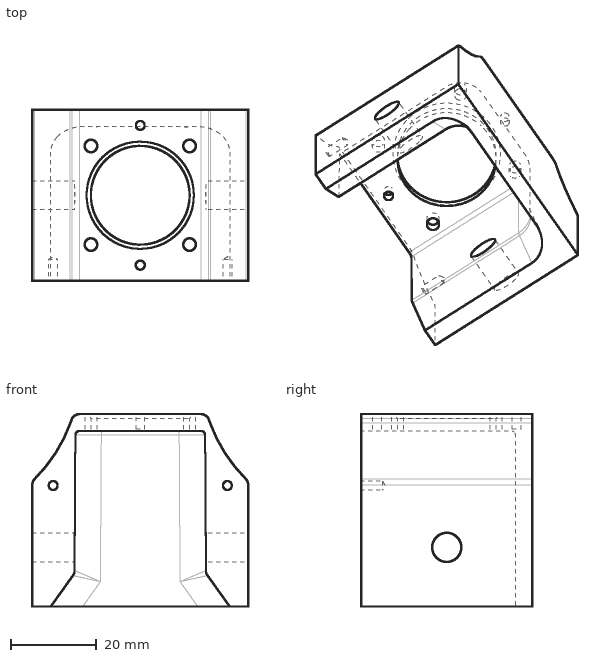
import cadquery as cq
import math

width = 50.4
depth = 40.0
height = 44.9
half_width = width / 2

top_half_width = 14.1
top_round_end = (15.95, 43.85)
sweep_start = (16.35, 42.75)
sweep_end = (24.7, 29.7)
sweep_sagitta = 0.85
side_top = 28.35
top_round_sagitta = 0.28
side_round_sagitta = 0.125

wall = 4.0
ceiling = height - wall
cavity_top_half_width = 15.15
flare_half_width = 15.35
flare_height = 7.75
foot_half_width = 20.85
cavity_back = depth / 2 - wall
corner_radius = 6.05
ceiling_fillet = 0.95
bend_radius = 2.0
bend_margin = 3.0

bore_diameter = 23.0
bore_chamfer = 1.0
screw_diameter = 2.85
screw_spacing = 23.0
pin_diameter = 2.05
pin_offset = 16.3
pin_depth = 3.55
pivot_diameter = 6.75
pivot_height = 13.8
face_hole_x = 20.3
face_hole_z = 28.25
face_hole_depth = 5.05
drill_point_angle = 118.0


def bulge_point(start, end, sagitta):
    """Middle of an arc that bows to the left of the line from start to end."""
    dx = end[0] - start[0]
    dz = end[1] - start[1]
    length = math.hypot(dx, dz)
    middle_x = (start[0] + end[0]) / 2
    middle_z = (start[1] + end[1]) / 2
    return (middle_x - dz / length * sagitta, middle_z + dx / length * sagitta)


def make_body():
    """Extrude the right half of the outline along Y and mirror it."""
    top_edge = (top_half_width, height)
    side_edge = (half_width, side_top)
    half = (
        cq.Workplane("XZ")
        .lineTo(half_width, 0)
        .lineTo(*side_edge)
        .threePointArc(bulge_point(sweep_end, side_edge, side_round_sagitta), sweep_end)
        .threePointArc(bulge_point(sweep_end, sweep_start, sweep_sagitta), sweep_start)
        .lineTo(*top_round_end)
        .threePointArc(bulge_point(top_edge, top_round_end, top_round_sagitta), top_edge)
        .lineTo(0, height)
        .close()
        .extrude(depth / 2, both=True)
    )
    return half.union(half.mirror("YZ"))


def make_cavity():
    """Cavity open at the front and bottom, with rounded back corners."""
    cavity = (
        cq.Workplane("XZ", origin=(0, cavity_back, 0))
        .polyline([
            (-foot_half_width, 0),
            (foot_half_width, 0),
            (flare_half_width, flare_height),
            (cavity_top_half_width, ceiling),
            (-cavity_top_half_width, ceiling),
            (-flare_half_width, flare_height),
        ])
        .close()
        .extrude(cavity_back + depth / 2)
    )
    back_corners = cavity.faces(">Y").edges("not #Z")
    cavity = cavity.newObject(back_corners.vals()).fillet(corner_radius)
    cavity = cavity.faces(">Z").edges("not <Y").fillet(ceiling_fillet)

    bend_zone = cq.selectors.BoxSelector(
        (-half_width, -depth, flare_height - bend_margin),
        (half_width, depth, flare_height + bend_margin),
        boundingbox=True,
    )
    return cavity.edges(bend_zone).fillet(bend_radius)


def drill_front(x):
    """Blind hole in the front face with a conical bottom."""
    radius = pin_diameter / 2
    point_length = radius / math.tan(math.radians(drill_point_angle / 2))
    return (
        cq.Workplane("XY")
        .polyline([
            (0, 0),
            (radius, 0),
            (radius, face_hole_depth),
            (0, face_hole_depth + point_length),
        ])
        .close()
        .revolve(360, (0, 0), (0, 1))
        .translate((x, -depth / 2, face_hole_z))
    )


result = make_body().cut(make_cavity())

top_plate = cq.Workplane("XY", origin=(0, 0, height))
bore = top_plate.circle(bore_diameter / 2).extrude(-height)
rim = (
    top_plate.circle(bore_diameter / 2 + bore_chamfer)
    .workplane(offset=-bore_chamfer)
    .circle(bore_diameter / 2)
    .loft()
)
screws = (
    top_plate.rect(screw_spacing, screw_spacing, forConstruction=True)
    .vertices()
    .circle(screw_diameter / 2)
    .extrude(-height)
)
result = result.cut(bore).cut(rim).cut(screws)

front_pin = top_plate.center(0, -pin_offset).circle(pin_diameter / 2).extrude(-height)
back_pin = top_plate.center(0, pin_offset).circle(pin_diameter / 2).extrude(-pin_depth)
result = result.cut(front_pin).cut(back_pin)

pivot = (
    cq.Workplane("YZ")
    .center(0, pivot_height)
    .circle(pivot_diameter / 2)
    .extrude(half_width, both=True)
)
result = result.cut(pivot)

for side in (-1, 1):
    result = result.cut(drill_front(side * face_hole_x))